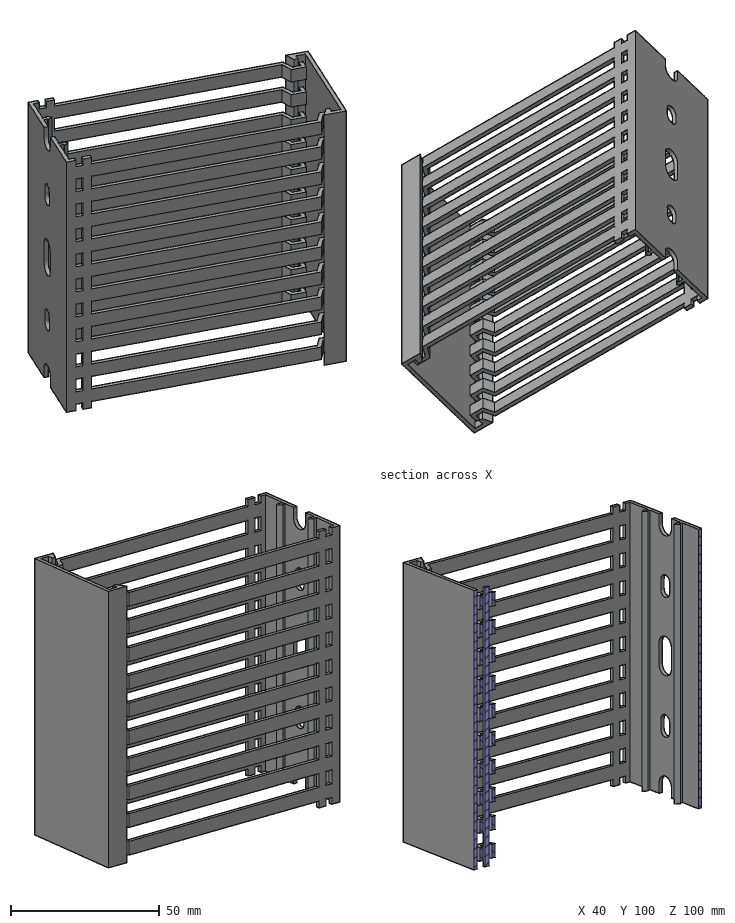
import cadquery as cq
import math

width = 40.0
height = 100.0
length = 100.0
wall = 1.5
half_width = width / 2

snap_slope = 0.5
cover_skirt = 8.0
lip_top_depth = 4.8
lip_reach = 3.5
wall_top_depth = 9.0
hook_top_depth = 2.5
hook_reach = 5.5
hook_tip_inset = 2.0

slot_pitch = 10.0
slot_width = 5.0
slot_count = round(length / slot_pitch) + 1
comb_start = 9.0
break_slot_bottom = 3.5
break_slot_top = 6.0

rib_offset = 8.5
rib_stem = 1.2
rib_height = 4.6
barb_width = 2.4
barb_bottom = 2.9

large_slot_length = 14.0
large_slot_width = 6.5
large_slot_pitch = 50.0
small_slot_length = 8.0
small_slot_width = 4.6
small_slot_pitch = 50.0


def extrude_profile(points):
    """Extrude a closed XY outline over the duct length, centred on Z = 0."""
    return cq.Workplane("XY").polyline(points).close().extrude(length / 2, both=True)


def mirrored_outline(right_half):
    """Complete an outline that is symmetric about X = 0."""
    return right_half + [(-x, y) for x, y in reversed(right_half)]


def make_cover():
    """Flat cover with two skirts, each ending in an inward wedge-shaped lip."""
    inner_x = half_width - wall
    lip_x = half_width - lip_reach
    lip_top = height - lip_top_depth
    skirt_end = height - cover_skirt
    return extrude_profile(mirrored_outline([
        (half_width, height),
        (half_width, skirt_end),
        (lip_x, skirt_end + snap_slope * lip_reach),
        (lip_x, lip_top),
        (inner_x, lip_top),
        (inner_x, height - wall),
    ]))


def channel_body():
    """U-shaped channel whose side walls jog inward and end in outward hooks."""
    inner_x = half_width - wall
    hook_inner_x = half_width - hook_reach
    hook_outer_x = hook_inner_x + wall
    hook_tip_x = half_width - hook_tip_inset
    wall_top = height - wall_top_depth
    hook_top = height - hook_top_depth
    jog_thickness = wall * math.hypot(1, snap_slope)

    def jog_outer(x):
        return wall_top + snap_slope * (half_width - x)

    return extrude_profile(mirrored_outline([
        (half_width, 0),
        (half_width, wall_top),
        (hook_outer_x, jog_outer(hook_outer_x)),
        (hook_outer_x, hook_top - wall),
        (hook_tip_x, hook_top - wall),
        (hook_tip_x, hook_top),
        (hook_inner_x, hook_top),
        (hook_inner_x, jog_outer(hook_inner_x) - jog_thickness),
        (inner_x, jog_outer(inner_x) - jog_thickness),
        (inner_x, wall),
    ]))


def barbed_rib(x):
    """Arrow-headed rib standing on the base along the full length."""
    half_stem = rib_stem / 2
    half_barb = barb_width / 2
    return extrude_profile([
        (x - half_stem, 0),
        (x - half_stem, barb_bottom),
        (x - half_barb, barb_bottom),
        (x, rib_height),
        (x + half_barb, barb_bottom),
        (x + half_stem, barb_bottom),
        (x + half_stem, 0),
    ])


def wall_opening(bottom, top, z):
    """Box through both side walls between two heights."""
    opening = cq.Workplane("XY").box(width, top - bottom, slot_width)
    return opening.translate((0, (bottom + top) / 2, z))


def mounting_slot(slot_length, slot_breadth, z):
    """Round-ended slot through the base, long along Z."""
    slot = cq.Workplane("XZ").slot2D(slot_length, slot_breadth, 90).extrude(-wall)
    return slot.translate((0, 0, z))


def make_channel():
    channel = channel_body()

    for i in range(slot_count):
        z = i * slot_pitch - length / 2
        channel = channel.cut(wall_opening(comb_start, height, z))
        channel = channel.cut(wall_opening(break_slot_bottom, break_slot_top, z))

    for x in (-rib_offset, rib_offset):
        channel = channel.union(barbed_rib(x))

    for z in (-large_slot_pitch, 0, large_slot_pitch):
        channel = channel.cut(mounting_slot(large_slot_length, large_slot_width, z))
    for z in (-small_slot_pitch / 2, small_slot_pitch / 2):
        channel = channel.cut(mounting_slot(small_slot_length, small_slot_width, z))
    return channel


cover = make_cover()
channel = make_channel()

result = cq.Compound.makeCompound([cover.val(), channel.val()])